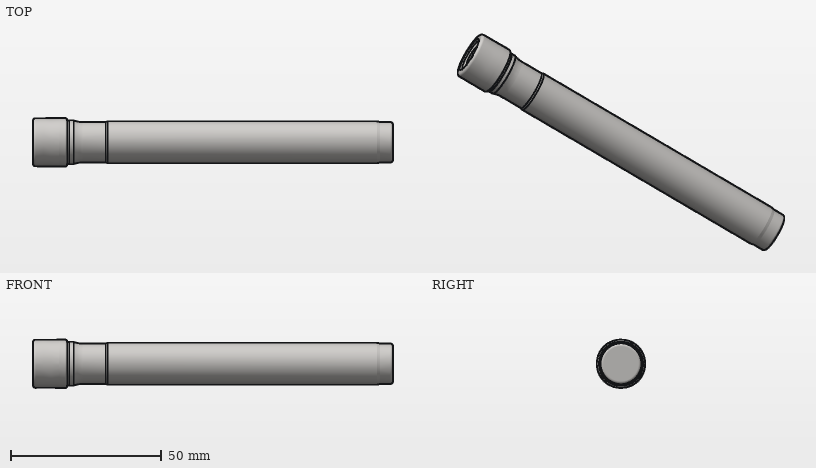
import cadquery as cq
import math

total_length = 120.0

cap_radius = 16.2 / 2
cap_taper = 0.02
cap_edge_round = 1.0
taper_end = 8.6
shoulder_start = 10.8
shoulder_end = 11.4
groove_end = 12.1
groove_depth = 0.06
collar_radius = 14.8 / 2
cap_length = 13.5

recess_radius = 6.0
recess_floor_radius = 5.5
recess_depth = 0.6
dish_radius = 5.0
well_radius = 3.5
dish_depth = 0.5
well_floor_radius = 1.7
well_step_radius = 2.9
well_bore_radius = 2.3
well_step_depth = 0.8
well_depth = 1.7

tube_radius = 14.0 / 2
neck_radius = 13.5 / 2
flare_radius = 7.2
flare_rim_end = 13.9
flare_end = 16.5
neck_end = 24.2
grip_start = 25.0
grip_end = 114.5
tail_start = 115.6
tail_round = 1.0


def revolve_about_x(profile):
    """Turn a closed (x, radius) half profile a full circle about the X axis."""
    return profile.close().revolve(360, (0, 0, 0), (1, 0, 0))


def arc_point(center_x, center_radius, arc_radius, angle):
    """Point on an arc at the given angle from the X axis."""
    turn = math.radians(angle)
    return (center_x + arc_radius * math.cos(turn), center_radius + arc_radius * math.sin(turn))


def make_cap():
    front_radius = cap_radius - cap_taper
    face_radius = front_radius - cap_edge_round
    front_middle = arc_point(cap_edge_round, face_radius, cap_edge_round, 135)
    shoulder_round = shoulder_end - shoulder_start
    shoulder_base = cap_radius - shoulder_round
    shoulder_middle = arc_point(shoulder_start, shoulder_base, shoulder_round, 45)
    groove_radius = collar_radius - groove_depth
    dish_bottom = recess_depth + dish_depth
    well_step = dish_bottom + well_step_depth
    well_bottom = dish_bottom + well_depth
    outline = (
        cq.Workplane("XY")
        .moveTo(well_bottom, 0)
        .lineTo(well_bottom, well_floor_radius)
        .lineTo(well_step, well_bore_radius)
        .lineTo(well_step, well_step_radius)
        .lineTo(dish_bottom, well_radius)
        .lineTo(recess_depth, dish_radius)
        .lineTo(recess_depth, recess_floor_radius)
        .lineTo(0, recess_radius)
        .lineTo(0, face_radius)
        .threePointArc(front_middle, (cap_edge_round, front_radius))
        .lineTo(taper_end, cap_radius)
        .lineTo(shoulder_start, cap_radius)
        .threePointArc(shoulder_middle, (shoulder_end, shoulder_base))
        .lineTo(shoulder_end, groove_radius)
        .lineTo(groove_end, groove_radius)
        .lineTo(groove_end, collar_radius)
        .lineTo(cap_length, collar_radius)
        .lineTo(cap_length, 0)
    )
    return revolve_about_x(outline)


def make_tube():
    flare_run = flare_end - flare_rim_end
    flare_rise = flare_radius - neck_radius
    flare_arc_radius = (flare_run**2 + flare_rise**2) / (2 * flare_rise)
    flare_half_angle = math.degrees(math.asin(flare_run / flare_arc_radius)) / 2
    flare_middle = arc_point(
        flare_end, neck_radius + flare_arc_radius, flare_arc_radius, 270 - flare_half_angle
    )
    tail_round_start = total_length - tail_round
    end_radius = neck_radius - tail_round
    tail_middle = arc_point(tail_round_start, end_radius, tail_round, 45)
    outline = (
        cq.Workplane("XY")
        .moveTo(cap_length, 0)
        .lineTo(cap_length, flare_radius)
        .lineTo(flare_rim_end, flare_radius)
        .threePointArc(flare_middle, (flare_end, neck_radius))
        .lineTo(neck_end, neck_radius)
        .lineTo(grip_start, tube_radius)
        .lineTo(grip_end, tube_radius)
        .lineTo(tail_start, neck_radius)
        .lineTo(tail_round_start, neck_radius)
        .threePointArc(tail_middle, (total_length, end_radius))
        .lineTo(total_length, 0)
    )
    return revolve_about_x(outline)


cap = make_cap()
tube = make_tube()

result = cq.Compound.makeCompound([cap.val(), tube.val()])